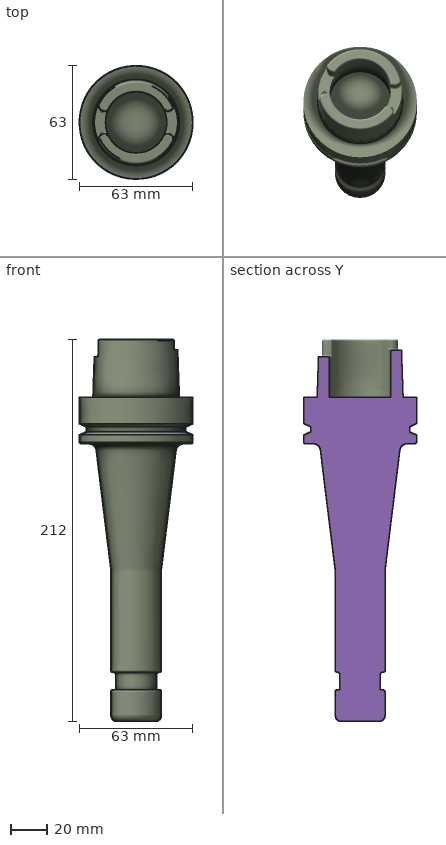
import cadquery as cq
import math

total_length = 212.0
taper_length = 32.0
shank_bottom = taper_length - total_length

taper_base_radius = 24.0
taper_tip_radius = 22.9
rim_fillet = 0.9
bore_radius = 17.0
bore_depth = taper_length

flange_radius = 31.5
flange_height = 26.0
flange_chamfer = 0.8
groove_floor_radius = 27.6
groove_center_z = -17.9
groove_floor_width = 2.6
groove_flank_angle = 65.0
groove_flank_drop = (flange_radius - groove_floor_radius) / math.tan(math.radians(groove_flank_angle))
groove_floor_top_z = groove_center_z + groove_floor_width / 2
groove_floor_bottom_z = groove_center_z - groove_floor_width / 2

neck_top_radius = 22.6
neck_bottom_height = 84.2
neck_bottom_z = shank_bottom + neck_bottom_height
neck_top_fillet = 4.0
neck_blend_radius = 12.0
shank_radius = 14.0

recess_radius = 11.4
recess_height = 9.6
nut_height = 17.6
nut_top_z = shank_bottom + nut_height
recess_top_z = nut_top_z + recess_height
recess_fillet = 1.2
nut_chamfer_height = 1.6
nut_chamfer_inset = 2.3
nut_chamfer_blend = 3.5
nut_end_radius = shank_radius - nut_chamfer_inset
nut_chamfer_z = shank_bottom + nut_chamfer_height

slot_width = 12.5
slot_relief_x = 21.2
slot_corner_radius = 4.0
slot_floor_fillet = 1.0
deep_slot_depth = 9.6
shallow_slot_depth = 5.8


def make_body():
    """Revolve the outer outline of the holder about the Z axis."""
    profile = (
        cq.Workplane("XZ")
        .moveTo(0, taper_length)
        .lineTo(taper_tip_radius, taper_length)
        .lineTo(taper_base_radius, 0)
        .lineTo(flange_radius, 0)
        .lineTo(flange_radius, groove_floor_top_z + groove_flank_drop)
        .lineTo(groove_floor_radius, groove_floor_top_z)
        .lineTo(groove_floor_radius, groove_floor_bottom_z)
        .lineTo(flange_radius, groove_floor_bottom_z - groove_flank_drop)
        .lineTo(flange_radius, -flange_height)
        .lineTo(neck_top_radius, -flange_height)
        .lineTo(shank_radius, neck_bottom_z)
        .lineTo(shank_radius, recess_top_z)
        .lineTo(recess_radius, recess_top_z)
        .lineTo(recess_radius, nut_top_z)
        .lineTo(shank_radius, nut_top_z)
        .lineTo(shank_radius, nut_chamfer_z)
        .lineTo(nut_end_radius, shank_bottom)
        .lineTo(0, shank_bottom)
        .close()
    )
    return profile.revolve(360, (0, 0, 0), (0, 1, 0))


def ring_edge(radius, z):
    """Select the circular edge of the given radius at height z."""
    gap = 0.05
    outer = cq.selectors.BoxSelector(
        (-radius - gap, -radius - gap, z - gap), (radius + gap, radius + gap, z + gap), boundingbox=True
    )
    inner = cq.selectors.BoxSelector(
        (gap - radius, gap - radius, z - gap), (radius - gap, radius - gap, z + gap), boundingbox=True
    )
    return outer - inner


def round_edges(body):
    """Round the turned edges of the holder."""
    body = body.edges(ring_edge(flange_radius, -flange_height)).chamfer(flange_chamfer)
    body = body.edges(ring_edge(neck_top_radius, -flange_height)).fillet(neck_top_fillet)
    body = body.edges(ring_edge(shank_radius, neck_bottom_z)).fillet(neck_blend_radius)
    body = body.edges(ring_edge(shank_radius, recess_top_z)).fillet(recess_fillet)
    body = body.edges(ring_edge(recess_radius, recess_top_z)).fillet(recess_fillet)
    body = body.edges(ring_edge(shank_radius, nut_top_z)).fillet(recess_fillet)
    return body.edges(ring_edge(shank_radius, nut_chamfer_z)).fillet(nut_chamfer_blend)


def cut_bore(body):
    """Bore the hollow taper from its tip."""
    bore = cq.Workplane("XY").workplane(offset=taper_length).circle(bore_radius).extrude(-bore_depth)
    return body.cut(bore)


def make_slot(side, depth):
    """Slot cutter on the +X (side = 1) or -X (side = -1) wall, flaring to a flat relief outside."""
    half_width = slot_width / 2
    reach = flange_radius
    floor_z = taper_length - depth
    cutter = (
        cq.Workplane("XY")
        .workplane(offset=floor_z)
        .moveTo(0, -half_width)
        .lineTo(slot_relief_x - slot_corner_radius, -half_width)
        .radiusArc((slot_relief_x, -half_width - slot_corner_radius), slot_corner_radius)
        .lineTo(slot_relief_x, -reach)
        .lineTo(reach, -reach)
        .lineTo(reach, reach)
        .lineTo(slot_relief_x, reach)
        .lineTo(slot_relief_x, half_width + slot_corner_radius)
        .radiusArc((slot_relief_x - slot_corner_radius, half_width), slot_corner_radius)
        .lineTo(0, half_width)
        .close()
        .extrude(depth)
        .faces("<Z")
        .edges()
        .fillet(slot_floor_fillet)
    )
    if side < 0:
        cutter = cutter.mirror("YZ")
    return cutter


result = cut_bore(round_edges(make_body()))
result = result.cut(make_slot(-1, deep_slot_depth))
result = result.cut(make_slot(1, shallow_slot_depth))
result = result.faces(">Z").edges().fillet(rim_fillet)